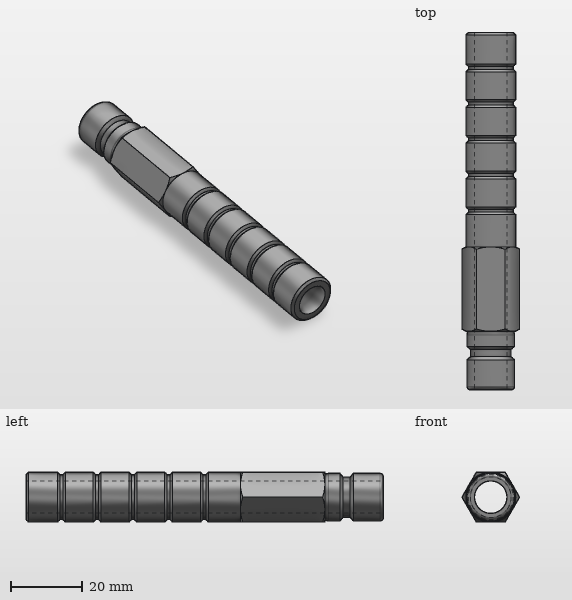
import cadquery as cq
import math

total_length = 100.0
bore_radius = 4.5

hex_across_flats = 14.0
hex_start = 16.4
hex_end = 40.0
hex_face_radius = hex_across_flats / 2
hex_corner_radius = hex_face_radius / math.cos(math.radians(30))
hex_chamfer_length = (hex_corner_radius - hex_face_radius) * math.tan(math.radians(30))

plug_radius = 6.7
plug_end_fillet = 1.0
plug_groove_radius = 5.7
plug_groove_start = 8.4
plug_groove_end = 12.2
plug_groove_slope = 0.9
relief_length = 1.0
relief_depth = 0.2

tail_radius = 7.0
tail_end_chamfer = 0.7
groove_count = 5
groove_pitch = 10.0
groove_depth = 0.7
groove_center_offset = 0.1
groove_top_width = 2.2
groove_floor_width = 0.8


def revolve_about_axis(profile):
    """Turn a closed profile in the XY plane around the Y axis."""
    return profile.close().revolve(360, (0, 0, 0), (0, 1, 0))


def make_plug():
    floor_start = plug_groove_start + plug_groove_slope
    floor_end = plug_groove_end - plug_groove_slope
    relief_start = hex_start - relief_length
    plug = revolve_about_axis(
        cq.Workplane("XY")
        .lineTo(plug_radius, 0)
        .lineTo(plug_radius, plug_groove_start)
        .lineTo(plug_groove_radius, floor_start)
        .lineTo(plug_groove_radius, floor_end)
        .lineTo(plug_radius, plug_groove_end)
        .lineTo(plug_radius, relief_start)
        .lineTo(plug_radius - relief_depth, hex_start)
        .lineTo(0, hex_start)
    )
    return plug.faces("<Y").edges().fillet(plug_end_fillet)


def make_hex_grip():
    length = hex_end - hex_start
    grip = (
        cq.Workplane("XZ", origin=(0, hex_start, 0))
        .polygon(6, 2 * hex_corner_radius)
        .extrude(-length)
    )
    envelope = revolve_about_axis(
        cq.Workplane("XY")
        .moveTo(0, hex_start)
        .lineTo(hex_face_radius, hex_start)
        .lineTo(hex_corner_radius, hex_start + hex_chamfer_length)
        .lineTo(hex_corner_radius, hex_end - hex_chamfer_length)
        .lineTo(hex_face_radius, hex_end)
        .lineTo(0, hex_end)
    )
    return grip.intersect(envelope)


def make_tail():
    floor_radius = tail_radius - groove_depth
    profile = cq.Workplane("XY").moveTo(0, hex_end).lineTo(tail_radius, hex_end)
    for index in range(1, groove_count + 1):
        center = hex_end + index * groove_pitch + groove_center_offset
        profile = (
            profile.lineTo(tail_radius, center - groove_top_width / 2)
            .lineTo(floor_radius, center - groove_floor_width / 2)
            .lineTo(floor_radius, center + groove_floor_width / 2)
            .lineTo(tail_radius, center + groove_top_width / 2)
        )
    profile = (
        profile.lineTo(tail_radius, total_length - tail_end_chamfer)
        .lineTo(tail_radius - tail_end_chamfer, total_length)
        .lineTo(0, total_length)
    )
    return revolve_about_axis(profile)


bore = cq.Workplane("XZ").circle(bore_radius).extrude(-total_length)
result = make_plug().union(make_hex_grip()).union(make_tail()).cut(bore)